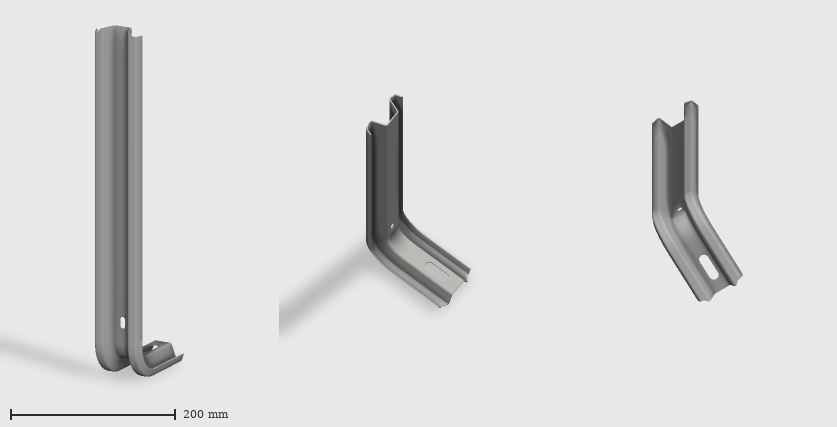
import cadquery as cq
import math

width = 64.0
foot_length = 120.0
height = 445.0

depth = 20.0
thickness = 1.6
outer_fold = 3.0
inner_fold = outer_fold - thickness
wall_angle = math.radians(20)
web_half_flat = 10.0
crest_flat = 6.5

elbow_radius = 45.0

trim_length = 5.0
trim_half_width = 19.5

foot_slot_length = 35.0
foot_slot_width = 12.0
foot_slot_from_end = 32.5
upright_slot_length = 15.0
upright_slot_width = 7.0
upright_slot_height = 70.0

web_fold = cq.Vector(web_half_flat, depth - outer_fold)
fold_drop = depth - 2 * outer_fold
fold_run = (outer_fold + inner_fold + fold_drop * math.sin(wall_angle)) / math.cos(wall_angle)
crest_fold = cq.Vector(web_half_flat + fold_run, outer_fold)
lip_fold = crest_fold + cq.Vector(crest_flat, 0)

lip_start = lip_fold.x + outer_fold * math.cos(wall_angle)
lip_length = (width / 2 - lip_start) / math.sin(wall_angle)


def around(centre, radius, angle):
    """Point at the given angle on a circle around a fold centre."""
    return centre + cq.Vector(radius * math.cos(angle), radius * math.sin(angle))


def face_points(web_radius, crest_radius):
    """Points of one sheet face, from the web flat out to the lip end.

    Each fold gives its start, middle and end; the lip end comes last.
    """
    up = math.pi / 2
    folds = [
        (web_fold, web_radius, up, wall_angle),
        (crest_fold, crest_radius, math.pi + wall_angle, 3 * up),
        (lip_fold, crest_radius, -up, -wall_angle),
    ]
    points = []
    for centre, radius, start, end in folds:
        for angle in (start, (start + end) / 2, end):
            points.append(around(centre, radius, angle))
    lip_direction = cq.Vector(math.sin(wall_angle), math.cos(wall_angle))
    points.append(points[-1] + lip_direction * lip_length)
    return points


def mirrored(points):
    """The same points on the other half of the section."""
    return [cq.Vector(-p.x, p.y) for p in points]


def draw_line(sketch, end):
    return sketch.lineTo(end.x, end.y)


def draw_arc(sketch, middle, end):
    return sketch.threePointArc((middle.x, middle.y), (end.x, end.y))


def trace_outward(sketch, points):
    """Draw one half face from the web flat out to the lip end."""
    *folds, lip_end = points
    for i in range(0, len(folds), 3):
        start, middle, end = folds[i:i + 3]
        sketch = draw_arc(draw_line(sketch, start), middle, end)
    return draw_line(sketch, lip_end)


def trace_inward(sketch, points):
    """Draw one half face from the lip end back to the web flat."""
    lip_end, *folds = reversed(points)
    sketch = draw_line(sketch, lip_end)
    for i in range(0, len(folds), 3):
        start, middle, end = folds[i:i + 3]
        sketch = draw_arc(draw_line(sketch, start), middle, end)
    return sketch


def section(plane):
    """Closed sheet section on a plane whose local y points from crest to web."""
    upper = face_points(outer_fold, inner_fold)
    lower = face_points(inner_fold, outer_fold)
    sketch = cq.Workplane(plane).moveTo(0, depth)
    sketch = trace_outward(sketch, upper)
    sketch = trace_inward(sketch, lower)
    sketch = trace_outward(sketch, mirrored(lower))
    sketch = trace_inward(sketch, mirrored(upper))
    return sketch.close()


def make_channel():
    """Upright leg, quarter-turn elbow and foot, crests on the outside."""
    upright_plane = cq.Plane((0, 0, elbow_radius), xDir=(1, 0, 0), normal=(0, 0, 1))
    foot_plane = cq.Plane((0, elbow_radius, 0), xDir=(1, 0, 0), normal=(0, -1, 0))
    upright = section(upright_plane).extrude(height - elbow_radius)
    foot = section(foot_plane).extrude(elbow_radius - foot_length)
    elbow = section(foot_plane).revolve(90, (4.5, elbow_radius), (-4.5, elbow_radius))
    return upright.union(elbow).union(foot)


def end_trim(plane):
    """Cutters for both corners of a free end; local y is the end direction."""
    slope_end = trim_half_width + trim_length
    cutters = cq.Workplane(plane)
    for side in (-1, 1):
        cutters = cutters.polyline([
            (side * trim_half_width, 0),
            (side * slope_end, -trim_length),
            (side * width, -trim_length),
            (side * width, 0),
        ]).close()
    return cutters.extrude(depth, both=True)


def slot(plane, length, slot_width):
    """Slot cutter centred on the plane, long along local y."""
    return cq.Workplane(plane).slot2D(length, slot_width, 90).extrude(depth, both=True)


top_end = cq.Plane((0, 0, height), xDir=(1, 0, 0), normal=(0, -1, 0))
foot_end = cq.Plane((0, foot_length, 0), xDir=(1, 0, 0), normal=(0, 0, 1))
foot_slot_y = foot_length - foot_slot_from_end
foot_slot_plane = cq.Plane((0, foot_slot_y, depth), xDir=(1, 0, 0), normal=(0, 0, 1))
upright_slot_plane = cq.Plane((0, depth, upright_slot_height), xDir=(1, 0, 0), normal=(0, -1, 0))

result = (
    make_channel()
    .cut(end_trim(top_end))
    .cut(end_trim(foot_end))
    .cut(slot(foot_slot_plane, foot_slot_length, foot_slot_width))
    .cut(slot(upright_slot_plane, upright_slot_length, upright_slot_width))
)